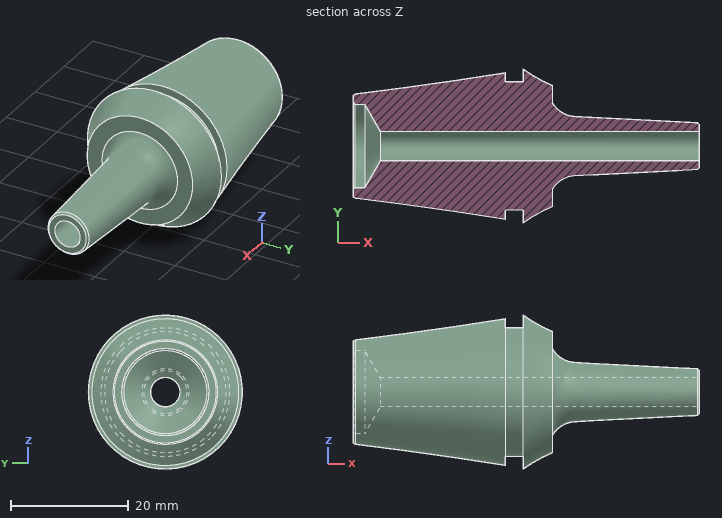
import cadquery as cq
import math

total_length = 59.0
body_end = 25.95
collar_start = 28.95
collar_end = 34.0
stem_start = 37.75

body_front_radius = 8.9
body_end_radius = 12.5
groove_radius = 11.0
collar_rim_diameter = 26.25
collar_rim_radius = collar_rim_diameter / 2
collar_end_radius = 10.3
fillet_root_radius = 7.4
stem_start_radius = 5.1
stem_tip_radius = 4.0

body_chamfer_length = 0.4
body_chamfer_depth = 0.25
tip_chamfer = 0.35
body_sag = 0.1
collar_sag = 0.2

socket_radius = 7.1
socket_chamfer = 0.35
socket_wall_end = 2.0
cone_end = 4.65
bore_radius = 2.5


def hollow_midpoint(start, end, sag):
    """Midpoint of two profile points, moved towards the axis by the sag."""
    return ((start[0] + end[0]) / 2, (start[1] + end[1]) / 2 - sag)


def root_fillet_arc():
    """Return a middle point of the root arc, which leaves the stem tangentially."""
    taper = math.atan2(stem_start_radius - stem_tip_radius, total_length - tip_chamfer - stem_start)
    run = stem_start - collar_end
    rise = fillet_root_radius - stem_start_radius
    chord_angle = math.atan2(rise, run)
    half_turn = chord_angle - taper
    sag = math.hypot(run, rise) / 2 * math.tan(half_turn / 2)
    return (
        (collar_end + stem_start) / 2 - sag * math.sin(chord_angle),
        (fillet_root_radius + stem_start_radius) / 2 - sag * math.cos(chord_angle),
    )


body_front = (body_chamfer_length, body_front_radius)
body_back = (body_end, body_end_radius)
collar_rim = (collar_start, collar_rim_radius)
collar_back = (collar_end, collar_end_radius)

profile = (
    cq.Workplane("XY")
    .moveTo(0, socket_radius + socket_chamfer)
    .lineTo(0, body_front_radius - body_chamfer_depth)
    .lineTo(*body_front)
    .threePointArc(hollow_midpoint(body_front, body_back, body_sag), body_back)
    .lineTo(body_end, groove_radius)
    .lineTo(collar_start, groove_radius)
    .lineTo(*collar_rim)
    .threePointArc(hollow_midpoint(collar_rim, collar_back, collar_sag), collar_back)
    .lineTo(collar_end, fillet_root_radius)
    .threePointArc(root_fillet_arc(), (stem_start, stem_start_radius))
    .lineTo(total_length - tip_chamfer, stem_tip_radius)
    .lineTo(total_length, stem_tip_radius - tip_chamfer)
    .lineTo(total_length, bore_radius)
    .lineTo(cone_end, bore_radius)
    .lineTo(socket_wall_end, socket_radius)
    .lineTo(socket_chamfer, socket_radius)
    .close()
)

result = profile.revolve(360, (0, 0, 0), (1, 0, 0))